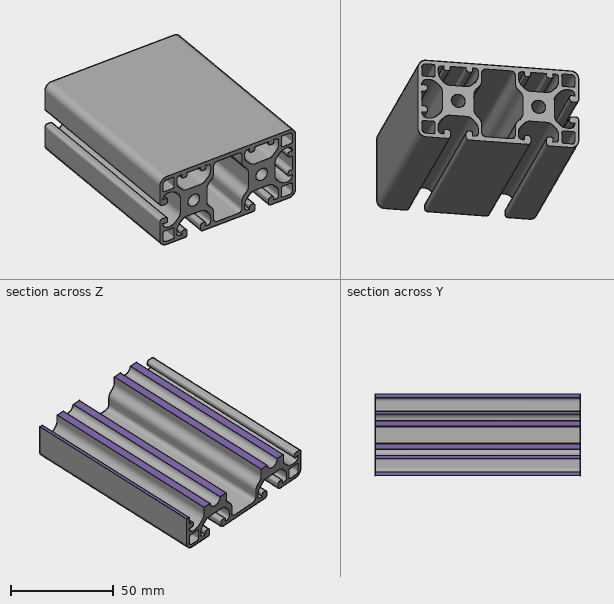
import cadquery as cq
import math


length = 100.0
cell = 40.0
half_cell = cell / 2
corner_radius = 4.0

core_half = 7.8
bore_diameter = 6.8
rib_offset = 2.1

mouth_half = 3.9
hook_half = 7.1
hook_depth = 4.6
mouth_edge_radius = 1.5
mouth_overcut = 1.0
hook_mouth_radius = 1.4
hook_back_radius = 0.9
hook_root_radius = 0.4

z_wall = 2.3
z_slot_half = 10.0
z_floor_radius = 4.0
z_side_radius = 5.5
z_pocket_radius = 1.8

y_wall = 1.9
y_slot_half = 10.1
y_floor_radius = 5.0
y_side_radius = 6.0
y_pocket_radius = 2.9

chamber_wall = 1.9
chamber_size = 6.5
chamber_outer_radius = 1.9
chamber_inner_radius = 1.0

chamber_half_width = 8.4
central_corner_radius = 2.3
central_bend_radius = 4.5
central_core_radius = 4.2


def rounded_outline(corners):
    """Closed wire on the YZ plane from (y, z, radius) corners, each rounded by its radius."""
    stretches = []
    for i, (y, z, radius) in enumerate(corners):
        corner = cq.Vector(y, z)
        if radius == 0:
            stretches.append([corner])
            continue
        before = cq.Vector(*corners[i - 1][:2])
        after = cq.Vector(*corners[(i + 1) % len(corners)][:2])
        to_before = (before - corner).normalized()
        to_after = (after - corner).normalized()
        half_angle = to_before.getAngle(to_after) / 2
        setback = radius / math.tan(half_angle)
        center_distance = radius / math.sin(half_angle)
        bisector = (to_before + to_after).normalized()
        stretches.append([
            corner + to_before * setback,
            corner + bisector * (center_distance - radius),
            corner + to_after * setback,
        ])

    outline = cq.Workplane("YZ", origin=(-length / 2, 0, 0)).moveTo(*stretches[0][-1].toTuple()[:2])
    for stretch in stretches[1:] + stretches[:1]:
        outline = outline.lineTo(*stretch[0].toTuple()[:2])
        if len(stretch) == 3:
            outline = outline.threePointArc(stretch[1].toTuple()[:2], stretch[2].toTuple()[:2])
    return outline.close()


def prism(corners):
    """Full-length prism with a rounded cross-section."""
    return rounded_outline(corners).extrude(length)


def mirrored(half):
    """Complete a right-hand half section, listed from bottom to top, across the vertical axis."""
    return half + [(-y, z, radius) for y, z, radius in reversed(half)]


def slot(is_open, wall, slot_half, floor_radius, side_radius, pocket_radius):
    """T-slot of a cell centred on the origin, facing +Z."""
    under_wall = half_cell - wall
    hook_tip = half_cell - hook_depth
    half = [
        (core_half - rib_offset, core_half, floor_radius),
        (slot_half, slot_half + rib_offset, side_radius),
        (slot_half, under_wall, pocket_radius),
        (hook_half, under_wall, 0),
        (hook_half, hook_tip, hook_back_radius),
        (mouth_half, hook_tip, hook_mouth_radius),
    ]
    if is_open:
        flare_half = mouth_half + 2 * mouth_edge_radius
        half += [
            (mouth_half, half_cell, mouth_edge_radius),
            (flare_half, half_cell, 0),
            (flare_half, half_cell + mouth_overcut, 0),
        ]
    else:
        half.append((mouth_half, under_wall, hook_root_radius))
    return prism(mirrored(half))


def z_slot(is_open):
    return slot(is_open, z_wall, z_slot_half, z_floor_radius, z_side_radius, z_pocket_radius)


def y_slot(is_open):
    return slot(is_open, y_wall, y_slot_half, y_floor_radius, y_side_radius, y_pocket_radius)


def turned(body, angle):
    """Turn a body about the X axis."""
    return body.rotate((0, 0, 0), (1, 0, 0), angle)


def corner_chamber(side_y, side_z):
    """Hollow chamber in one outer corner of the profile."""
    outer_y = cell - chamber_wall
    outer_z = half_cell - chamber_wall
    inner_y = outer_y - chamber_size
    inner_z = outer_z - chamber_size
    return prism([
        (side_y * outer_y, side_z * outer_z, chamber_outer_radius),
        (side_y * inner_y, side_z * outer_z, chamber_inner_radius),
        (side_y * inner_y, side_z * inner_z, chamber_inner_radius),
        (side_y * outer_y, side_z * inner_z, chamber_inner_radius),
    ])


def central_chamber():
    """Chamber between the two cores, widening between the ribs."""
    core_y = half_cell - core_half
    core_z = core_half - rib_offset
    bend_z = half_cell - chamber_half_width - rib_offset
    top_z = half_cell - z_wall
    upper = [
        (core_y, core_z, central_core_radius),
        (chamber_half_width, bend_z, central_bend_radius),
        (chamber_half_width, top_z, central_corner_radius),
    ]
    lower = [(y, -z, radius) for y, z, radius in reversed(upper)]
    return prism(mirrored(lower + upper))


result = cq.Workplane("XY").box(length, 2 * cell, cell).edges("|X").fillet(corner_radius)

bore = cq.Workplane("YZ", origin=(-length / 2, 0, 0)).circle(bore_diameter / 2).extrude(length)
for cell_y in (-half_cell, half_cell):
    for cutter in (bore, z_slot(is_open=False), turned(z_slot(is_open=True), 180)):
        result = result.cut(cutter.translate((0, cell_y, 0)))

result = result.cut(turned(y_slot(is_open=True), 90).translate((0, -half_cell, 0)))
result = result.cut(turned(y_slot(is_open=False), -90).translate((0, half_cell, 0)))

for side_y in (-1, 1):
    for side_z in (-1, 1):
        result = result.cut(corner_chamber(side_y, side_z))
result = result.cut(central_chamber())